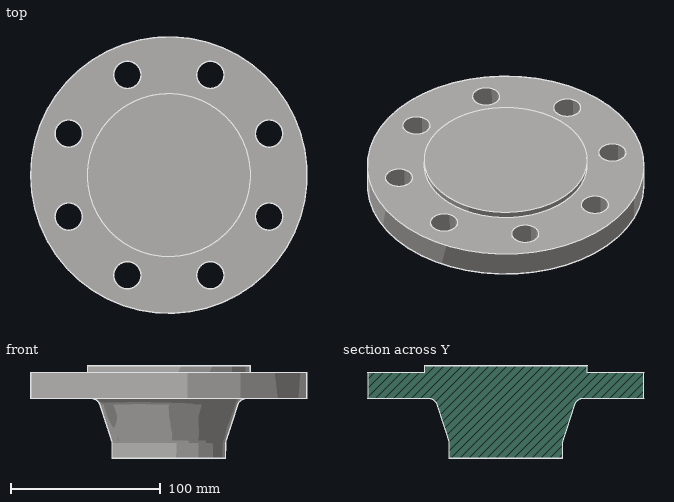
import cadquery as cq

flange_diameter = 185.0
flange_thickness = 17.5
spigot_diameter = 109.0
spigot_height = 4.5

bolt_circle_diameter = 145.0
bolt_hole_diameter = 18.0
bolt_hole_count = 8

total_height = 62.0
weld_end_diameter = 76.1
weld_end_length = 11.0
hub_diameter = 95.0
root_fillet_radius = 6.0
weld_end_blend_radius = 6.0

flange_bottom = total_height - spigot_height - flange_thickness


def turned_blank():
    """Solid flange with its neck, turned about Z with the weld end at Z = 0."""
    flange_top = flange_bottom + flange_thickness
    section_plane = cq.Plane(origin=(0, 0, 0), xDir=(-1, 0, 0), normal=(0, 1, 0))
    return (
        cq.Workplane(section_plane)
        .moveTo(0, 0)
        .lineTo(weld_end_diameter / 2, 0)
        .lineTo(weld_end_diameter / 2, weld_end_length)
        .lineTo(hub_diameter / 2, flange_bottom)
        .lineTo(flange_diameter / 2, flange_bottom)
        .lineTo(flange_diameter / 2, flange_top)
        .lineTo(spigot_diameter / 2, flange_top)
        .lineTo(spigot_diameter / 2, total_height)
        .lineTo(0, total_height)
        .close()
        .revolve(360, (0, 0, 0), (0, 1, 0))
    )


def circle_edge_at(diameter, height):
    """Selector for the full-circle edge of a given diameter and height."""
    tolerance = 0.01
    radius = diameter / 2
    return cq.selectors.BoxSelector(
        (-radius - tolerance, -radius - tolerance, height - tolerance),
        (radius + tolerance, radius + tolerance, height + tolerance),
        boundingbox=True,
    )


def blend_neck(body):
    """Round the neck where it meets the flange and the weld end."""
    root = circle_edge_at(hub_diameter, flange_bottom)
    weld_shoulder = circle_edge_at(weld_end_diameter, weld_end_length)
    return (
        body.edges(root).fillet(root_fillet_radius)
        .edges(weld_shoulder).fillet(weld_end_blend_radius)
    )


def bolt_holes():
    """Cylinders that pass through the flange plate."""
    half_pitch_angle = 180.0 / bolt_hole_count
    return (
        cq.Workplane("XY", origin=(0, 0, flange_bottom))
        .polarArray(bolt_circle_diameter / 2, half_pitch_angle, 360, bolt_hole_count)
        .circle(bolt_hole_diameter / 2)
        .extrude(flange_thickness)
    )


result = blend_neck(turned_blank()).cut(bolt_holes())